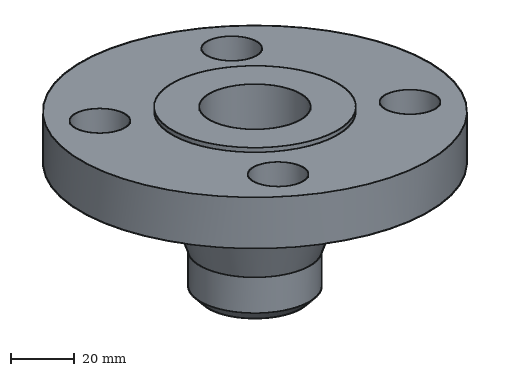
import cadquery as cq

flange_diameter = 133.4
flange_thickness = 17.6
face_diameter = 63.5
face_height = 1.6
total_height = 65.1
bore_diameter = 35.1

hub_base_diameter = 63.5
neck_diameter = 42.1
neck_length = 15.7
bevel_height = 3.5
neck_tip_diameter = 35.2

bolt_count = 4
bolt_hole_diameter = 19.1
bolt_circle_diameter = 98.5
first_bolt_angle = 45.0

face_top = total_height
flange_top = face_top - face_height
flange_bottom = flange_top - flange_thickness


def make_body():
    """Revolve the outer profile of neck, hub, flange and raised face."""
    profile = [
        (0, 0),
        (neck_tip_diameter / 2, 0),
        (neck_diameter / 2, bevel_height),
        (neck_diameter / 2, neck_length),
        (hub_base_diameter / 2, flange_bottom),
        (flange_diameter / 2, flange_bottom),
        (flange_diameter / 2, flange_top),
        (face_diameter / 2, flange_top),
        (face_diameter / 2, face_top),
        (0, face_top),
    ]
    return cq.Workplane("XZ").polyline(profile).close().revolve(360, (0, 0), (0, 1))


def make_bore():
    """Straight bore through the whole part."""
    return cq.Workplane("XY").circle(bore_diameter / 2).extrude(total_height)


def make_bolt_holes():
    """Through holes equally spaced on the bolt circle."""
    return (
        cq.Workplane("XY")
        .workplane(offset=flange_bottom)
        .polarArray(bolt_circle_diameter / 2, first_bolt_angle, 360, bolt_count)
        .circle(bolt_hole_diameter / 2)
        .extrude(flange_thickness)
    )


result = make_body().cut(make_bore()).cut(make_bolt_holes())